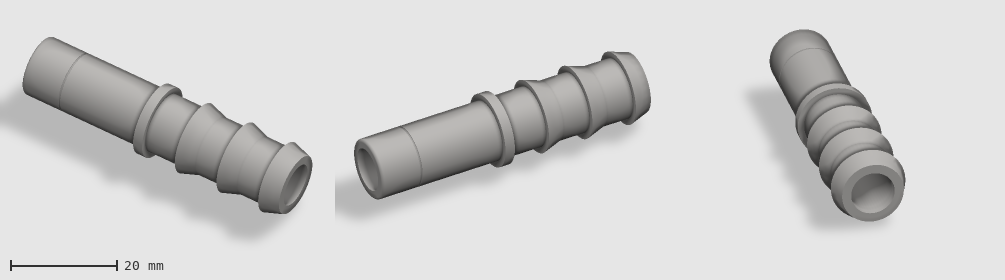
import cadquery as cq

length = 57.0
tube_radius = 6.0
bore_radius = 4.2
end_fillet = 0.55

groove_center = 8.3
groove_radius = 0.2

rim_radius = 7.25
collar_start = 25.5
collar_width = 2.0

barb_count = 3
barb_length = 3.8
barb_pitch = 9.25


def cylinder(start, width, radius):
    """Solid cylinder along X."""
    return cq.Workplane("YZ").workplane(offset=start).circle(radius).extrude(width)


def revolve_about_axis(points):
    """Solid of revolution about X from a closed outline in the XY plane."""
    return cq.Workplane("XY").polyline(points).close().revolve(360, (0, 0, 0), (1, 0, 0))


def groove():
    """Ring of round section, centred on the tube surface."""
    section = cq.Workplane("XY").center(groove_center, -tube_radius).circle(groove_radius)
    return section.revolve(360, (-groove_center, tube_radius, 0), (0.55 - groove_center, tube_radius, 0))


def barb(start):
    """Cone with a square shoulder at its start, tapering down to the tube radius."""
    end = start + barb_length
    return revolve_about_axis([
        (start, 0),
        (start, -rim_radius),
        (end, -tube_radius),
        (end, 0),
    ])


body = cylinder(0, length, tube_radius).faces("<X").edges().fillet(end_fillet)
body = body.cut(groove())
body = body.union(cylinder(collar_start, collar_width, rim_radius))

for index in range(barb_count):
    body = body.union(barb(length - barb_length - index * barb_pitch))

result = body.cut(cylinder(0, length, bore_radius))